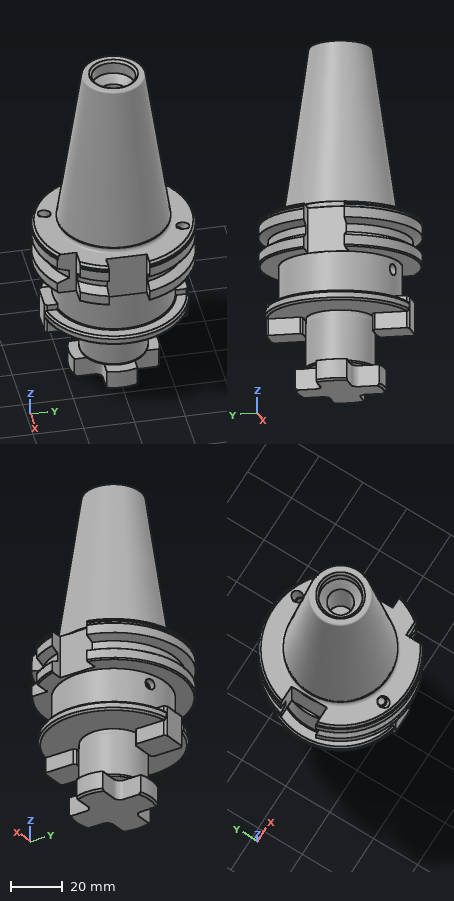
import cadquery as cq
import math

total_length = 137.4
head_height = 8.4
neck_relief_height = 0.7
key_bottom = 22.5
undercut_bottom = 27.0
undercut_slope = 0.5
disk_bottom = 29.1
disk_top = 33.0
body_foot_height = 0.3
key_top = 35.5
coolant_outlet_level = 45.5
flange_bottom = 49.9
flange_top = 68.0
groove_floor_bottom = 56.5
groove_floor_top = 59.8
groove_mouth_bottom = 54.4
groove_mouth_top = 61.4
rim_groove_bottom = 65.7
rim_groove_top = 66.6
taper_start = 70.3

head_radius = 17.7
neck_radius = 13.5
undercut_radius = 13.3
neck_relief_radius = 13.2
disk_radius = 29.1
body_radius = 23.9
body_foot_radius = 24.3
flange_radius = 31.7
groove_floor_radius = 28.0
rim_groove_radius = 31.5
collar_radius = 21.7
taper_large_radius = 22.1
taper_ratio = 7 / 24
taper_small_radius = taper_large_radius - (total_length - taper_start) * taper_ratio / 2

head_chamfer = 0.8
disk_chamfer_top = 0.8
disk_chamfer_bottom = 0.8
flange_chamfer_top = 1.0
flange_chamfer_bottom = 0.5
taper_end_fillet = 0.8
collar_fillet = 1.5

bore_mouth_radius = 9.5
bore_radius = 8.5
bore_mouth_chamfer = bore_mouth_radius - bore_radius
bore_depth = 5.8
countersink_radius = 7.0
countersink_top = 7.0
countersink_bottom = 8.7
drill_radius = 5.2
drill_depth = 30.2

slot_width = 16.1
left_slot_floor = 22.8
right_slot_floor = 25.0
notch_offset = 18.4
key_width = 12.1
key_outer = 28.3
key_inner = 13.7
key_chamfer = 1.0

arm_width = 12.1
arm_fillet = 2.7

coolant_angle = 70
coolant_inlet_radius = 27.0
coolant_tilt = 30
coolant_port_radius = 2.2
coolant_port_depth = 3.0
coolant_drill_radius = 1.6


def turned_body():
    """Everything above the head, revolved about Z."""
    lower_outline = [
        (0, head_height),
        (neck_relief_radius, head_height),
        (neck_radius, head_height + neck_relief_height),
        (neck_radius, undercut_bottom),
        (undercut_radius, undercut_bottom + undercut_slope),
        (undercut_radius, disk_bottom),
        (disk_radius - disk_chamfer_bottom, disk_bottom),
        (disk_radius, disk_bottom + disk_chamfer_bottom),
        (disk_radius, disk_top - disk_chamfer_top),
        (disk_radius - disk_chamfer_top, disk_top),
        (body_foot_radius, disk_top),
        (body_foot_radius, disk_top + body_foot_height),
        (body_radius, disk_top + body_foot_height),
        (body_radius, flange_bottom),
        (flange_radius - flange_chamfer_bottom, flange_bottom),
        (flange_radius, flange_bottom + flange_chamfer_bottom),
        (flange_radius, groove_mouth_bottom),
        (groove_floor_radius, groove_floor_bottom),
        (groove_floor_radius, groove_floor_top),
        (flange_radius, groove_mouth_top),
        (flange_radius, rim_groove_bottom),
        (rim_groove_radius, rim_groove_bottom),
        (rim_groove_radius, rim_groove_top),
        (flange_radius, rim_groove_top),
        (flange_radius, flange_top - flange_chamfer_top),
        (flange_radius - flange_chamfer_top, flange_top),
        (collar_radius + collar_fillet, flange_top),
    ]
    arc_reach = collar_fillet * (1 - math.sqrt(0.5))
    collar_arc_middle = (collar_radius + arc_reach, flange_top + arc_reach)
    collar_arc_end = (collar_radius, flange_top + collar_fillet)
    upper_outline = [
        (collar_radius, taper_start),
        (taper_large_radius, taper_start),
        (taper_small_radius, total_length),
        (0, total_length),
    ]
    body = (
        cq.Workplane("XZ")
        .polyline(lower_outline)
        .threePointArc(collar_arc_middle, collar_arc_end)
        .polyline(upper_outline, includeCurrent=True)
        .close()
        .revolve(360, (0, 0), (0, 1))
    )
    return body.faces(">Z").edges().fillet(taper_end_fillet)


def clamping_head():
    """Plus-shaped head: two crossed bars trimmed to a disk, with rounded inner corners."""
    overlong = 3 * head_radius
    arm = cq.Workplane("XY").rect(overlong, arm_width).extrude(head_height)
    cross = arm.union(arm.rotate((0, 0, 0), (0, 0, 1), 90))
    inner_corners = cq.selectors.BoxSelector(
        (-head_radius / 2, -head_radius / 2, 0), (head_radius / 2, head_radius / 2, head_height)
    )
    cross = cross.edges("|Z").edges(inner_corners).fillet(arm_fillet)
    blank = cq.Workplane("XY").circle(head_radius).extrude(head_height)
    blank = blank.faces("<Z").edges().chamfer(head_chamfer)
    return cross.intersect(blank)


def pull_stud_bore():
    """Stepped bore from the top, removed from the taper."""
    profile = [
        (0, total_length),
        (bore_mouth_radius, total_length),
        (bore_radius, total_length - bore_mouth_chamfer),
        (bore_radius, total_length - bore_depth),
        (countersink_radius, total_length - countersink_top),
        (drill_radius, total_length - countersink_bottom),
        (drill_radius, total_length - drill_depth),
        (0, total_length - drill_depth),
    ]
    return cq.Workplane("XZ").polyline(profile).close().revolve(360, (0, 0), (0, 1))


def flange_cut(x_near, y_low, y_high):
    """Block through the flange height, from x_near outward in +X."""
    return (
        cq.Workplane("XY", origin=(0, 0, flange_bottom))
        .moveTo(x_near, y_low)
        .lineTo(2 * flange_radius, y_low)
        .lineTo(2 * flange_radius, y_high)
        .lineTo(x_near, y_high)
        .close()
        .extrude(flange_top - flange_bottom)
    )


def turned(shape, angle):
    """Shape rotated about the Z axis."""
    return shape.rotate((0, 0, 0), (0, 0, 1), angle)


def drive_key():
    """Chamfered key block on the -Y side."""
    length = key_outer - key_inner
    return (
        cq.Workplane("XY", origin=(0, -(key_outer + key_inner) / 2, key_bottom))
        .rect(key_width, length)
        .extrude(key_top - key_bottom)
        .edges("|Z")
        .chamfer(key_chamfer)
    )


def key_seat():
    """Slot across the disk rim that takes the -Y key."""
    seat_length = 2 * disk_radius - body_radius
    return (
        cq.Workplane("XY", origin=(0, -body_radius - seat_length / 2, disk_bottom))
        .rect(key_width, seat_length)
        .extrude(disk_top - disk_bottom)
    )


def stepped_hole(start, direction, length):
    """Wide port followed by a narrower drilling along one axis."""
    port = cq.Solid.makeCylinder(coolant_port_radius, 2 * coolant_port_depth,
                                 start - direction * coolant_port_depth, direction)
    drilling = cq.Solid.makeCylinder(coolant_drill_radius, length, start, direction)
    return cq.Workplane(port).union(cq.Workplane(drilling))


def coolant_channel():
    """Tilted inlet in the flange top that meets a radial outlet in the body, along +X."""
    tilt = math.radians(coolant_tilt)
    drop = flange_top - coolant_outlet_level
    inlet = stepped_hole(
        cq.Vector(coolant_inlet_radius, 0, flange_top),
        cq.Vector(-math.sin(tilt), 0, -math.cos(tilt)),
        drop / math.cos(tilt),
    )
    meeting_radius = coolant_inlet_radius - drop * math.tan(tilt)
    outlet = stepped_hole(
        cq.Vector(body_radius, 0, coolant_outlet_level),
        cq.Vector(-1, 0, 0),
        body_radius - meeting_radius,
    )
    return inlet.union(outlet)


result = turned_body().union(clamping_head()).cut(pull_stud_bore())

result = result.cut(flange_cut(right_slot_floor, -slot_width / 2, slot_width / 2))
result = result.cut(turned(flange_cut(left_slot_floor, -slot_width / 2, slot_width / 2), 180))
result = result.cut(flange_cut(notch_offset, -2 * flange_radius, -notch_offset))

for half_turn in (0, 180):
    result = result.cut(turned(key_seat(), half_turn))
    result = result.union(turned(drive_key(), half_turn))
    result = result.cut(turned(coolant_channel(), coolant_angle + half_turn))